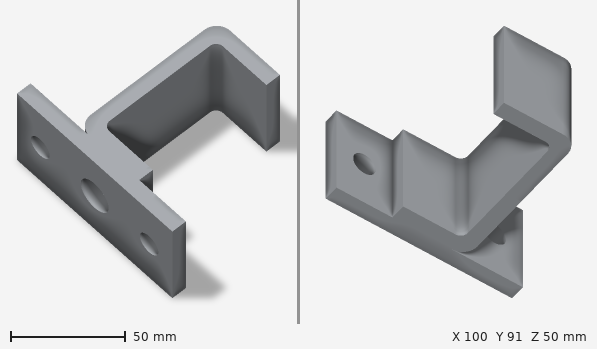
import cadquery as cq

plate_length = 100.0
height = 50.0
thickness = 8.0

channel_width = 40.0
channel_depth = 83.0
outer_bend_radius = 8.0
inner_bend_radius = 4.0

mounting_hole_diameter = 12.0
mounting_hole_spacing = 70.0
center_hole_diameter = 18.0


def make_plate():
    """Flat plate with two mounting holes and a larger central hole."""
    plate = cq.Workplane("XY").box(
        plate_length, thickness, height, centered=(True, False, True)
    )
    half_spacing = mounting_hole_spacing / 2
    return (
        plate.faces("<Y")
        .workplane(origin=(0, 0, 0))
        .pushPoints([(-half_spacing, 0), (half_spacing, 0)])
        .hole(mounting_hole_diameter)
        .faces("<Y")
        .workplane(origin=(0, 0, 0))
        .hole(center_hole_diameter)
    )


def upright_block(left, right, front, back):
    """Full-height block between the given X and Y limits."""
    return (
        cq.Workplane("XY")
        .box(right - left, back - front, height, centered=(False, False, True))
        .translate((left, front, 0))
    )


def make_channel():
    """Bent channel whose front flange closes the back of the central hole."""
    left = -channel_width / 2
    right = channel_width / 2
    front = thickness
    back = front + channel_depth
    outer = upright_block(left, right, front, back)
    outer = outer.edges("|Z and <X").fillet(outer_bend_radius)
    inner = upright_block(left + thickness, right, front + thickness, back - thickness)
    inner = inner.edges("|Z and <X").fillet(inner_bend_radius)
    return outer.cut(inner)


result = make_plate().union(make_channel())